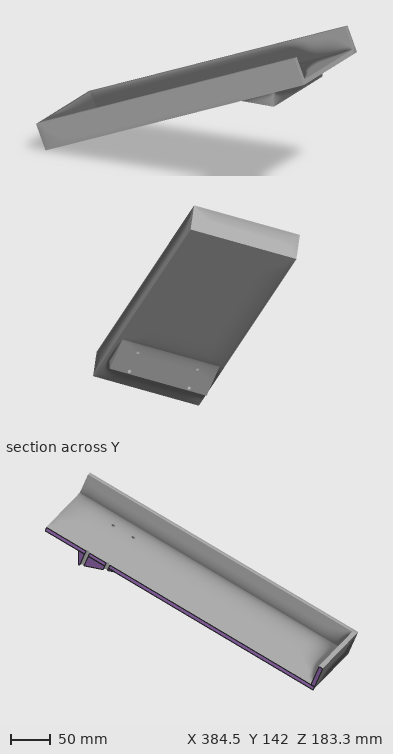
import cadquery as cq
import math

overall_length = 384.5
tilt = 22.0
tray_height = 36.0
tray_width = 142.0
floor_width = 130.0

tab_count = 4
tab_length = 50.0
tab_pitch = 90.0
first_tab_start = 40.0
end_gap = 40.0
wall_finger_height = 21.0

wedge_height = 20.0
wedge_back = 324.5
hole_diameter = 5.0
hole_pitch_along = 30.0
hole_pitch_across = 80.0

slope = math.radians(tilt)
tray_length = (overall_length - tray_height * math.sin(slope)) / math.cos(slope)
board = (tray_width - floor_width) / 2
wedge_length = wedge_height / math.tan(slope)
wedge_width = floor_width
wedge_top = wedge_back * math.tan(slope)
hole_center = (wedge_back - wedge_length / 2) / math.cos(slope)


def block(x_start, x_end, y_start, y_end, z_start, z_end):
    """Box between the given limits, in the untilted tray."""
    size = (x_end - x_start, y_end - y_start, z_end - z_start)
    return cq.Workplane("XY").box(*size, centered=False).translate((x_start, y_start, z_start))


def tilted(body):
    """Raise the +X end of the tray about its low bottom edge."""
    return body.rotate((0, 0, 0), (0, 1, 0), -tilt)


def side_tabs():
    """Floor tabs as bars that span the whole tray width."""
    bars = cq.Workplane("XY")
    for index in range(tab_count):
        start = first_tab_start + index * tab_pitch
        bars = bars.add(block(start, start + tab_length, -tray_width / 2, tray_width / 2, 0, board))
    return bars.combine()


def screw_holes():
    """Four cylinders square to the floor, long enough to pass through floor and wedge."""
    reach = wedge_height
    return (
        cq.Workplane("XY", origin=(hole_center, 0, -reach))
        .rarray(hole_pitch_along, hole_pitch_across, 2, 2)
        .circle(hole_diameter / 2)
        .extrude(reach + board)
    )


def end_foot():
    """Middle foot of the end board, standing between the two floor tabs."""
    return block(0, board, -end_gap / 2, end_gap / 2, 0, board)


def make_floor():
    plate = block(0, tray_length, -floor_width / 2, floor_width / 2, 0, board)
    return tilted(plate.union(side_tabs()).cut(end_foot()).cut(screw_holes()))


def make_end_board():
    ears = block(0, board, -tray_width / 2, tray_width / 2, wall_finger_height, tray_height)
    web = block(0, board, -floor_width / 2, floor_width / 2, board, tray_height)
    return tilted(ears.union(web).union(end_foot()))


def make_side_wall(y_start):
    wall = block(0, tray_length, y_start, y_start + board, 0, tray_height)
    ear_notch = block(0, board, y_start, y_start + board, wall_finger_height, tray_height)
    return tilted(wall.cut(side_tabs()).cut(ear_notch))


def make_wedge():
    """Wedge with a level base, an upright back and its sloping face against the floor."""
    base = wedge_top - wedge_height
    prism = (
        cq.Workplane("XZ", origin=(0, wedge_width / 2, 0))
        .moveTo(wedge_back - wedge_length, base)
        .lineTo(wedge_back, base)
        .lineTo(wedge_back, wedge_top)
        .close()
        .extrude(wedge_width)
    )
    return prism.cut(tilted(screw_holes()))


floor = make_floor()
end_board = make_end_board()
side_walls = [make_side_wall(y_start) for y_start in (-tray_width / 2, floor_width / 2)]
wedge = make_wedge()

bodies = [floor, end_board, *side_walls, wedge]
result = cq.Compound.makeCompound([body.solids().val() for body in bodies])